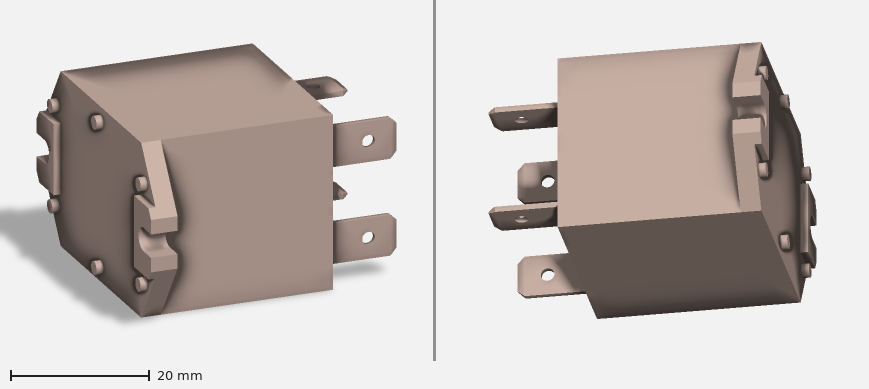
import cadquery as cq

overall_width = 44.0
overall_depth = 42.0
height = 27.0
body_width = 30.98
body_back = 30.98
flange_back = 4.15
front_face = 1.1
flange_end_height = 8.1

pad_height = 11.0
slot_width = 3.6
slot_depth = 4.8

foot_diameter = 2.05
corner_foot_x = 17.0
corner_foot_z = 7.75
middle_foot_z = 11.2

tab_length = overall_depth - body_back
tab_width = 6.35
tab_thickness = 0.85
tab_root = 0.9
tip_corner_width = 0.95
tip_corner_length = 1.1
tip_bevel_length = 0.9
tip_thickness = 0.18
tab_hole_diameter = 2.0
tab_hole_from_tip = 4.45
flat_tab_x = -8.5
flat_tab_z = 7.95
upright_tab_x = 12.35
upright_tab_z = 7.5


def box_between(width, y_front, y_back, box_height):
    """Box centred on X and Z, spanning the given Y range."""
    return cq.Workplane("XY").box(width, y_back - y_front, box_height).translate(
        (0, (y_front + y_back) / 2, 0)
    )


def extrude_back(sketch, y_front, y_back):
    """Extrude an XZ outline from y_front towards +Y."""
    return sketch.extrude(-(y_back - y_front)).translate((0, y_front, 0))


def flange_prism(y_front, y_back):
    """Octagonal flange outline, extruded over the given Y range."""
    half_width = overall_width / 2
    half_body = body_width / 2
    half_height = height / 2
    half_end = flange_end_height / 2
    outline = cq.Workplane("XZ").polyline([
        (-half_width, -half_end),
        (-half_body, -half_height),
        (half_body, -half_height),
        (half_width, -half_end),
        (half_width, half_end),
        (half_body, half_height),
        (-half_body, half_height),
        (-half_width, half_end),
    ]).close()
    return extrude_back(outline, y_front, y_back)


def ear_pads():
    """Raised parts of both ears, bounded by the flange outline and the body sides."""
    band = box_between(overall_width, 0, front_face, pad_height)
    middle = box_between(body_width, 0, front_face, pad_height)
    return flange_prism(0, front_face).intersect(band).cut(middle)


def mounting_slots():
    """Round-ended cutters, each centred on an end so that half of it enters the ear."""
    slots = (
        cq.Workplane("XZ")
        .pushPoints([(-overall_width / 2, 0), (overall_width / 2, 0)])
        .slot2D(2 * slot_depth, slot_width)
    )
    return extrude_back(slots, 0, flange_back)


def feet():
    positions = [(0, -middle_foot_z), (0, middle_foot_z)]
    for x in (-corner_foot_x, corner_foot_x):
        for z in (-corner_foot_z, corner_foot_z):
            positions.append((x, z))
    circles = cq.Workplane("XZ").pushPoints(positions).circle(foot_diameter / 2)
    return extrude_back(circles, 0, front_face)


def tab_terminal():
    """Flat tab along +Y, lying in the XY plane, with the body's back face at Y = 0."""
    half_width = tab_width / 2
    half_tip = half_width - tip_corner_width
    shoulder = tab_length - tip_corner_length
    blade = (
        cq.Workplane("XY")
        .polyline([
            (-half_width, -tab_root),
            (half_width, -tab_root),
            (half_width, shoulder),
            (half_tip, tab_length),
            (-half_tip, tab_length),
            (-half_width, shoulder),
        ])
        .close()
        .extrude(tab_thickness / 2, both=True)
    )
    bevel_start = tab_length - tip_bevel_length
    profile = (
        cq.Workplane("YZ")
        .polyline([
            (-tab_root, -tab_thickness / 2),
            (bevel_start, -tab_thickness / 2),
            (tab_length, -tip_thickness / 2),
            (tab_length, tip_thickness / 2),
            (bevel_start, tab_thickness / 2),
            (-tab_root, tab_thickness / 2),
        ])
        .close()
        .extrude(half_width, both=True)
    )
    hole = (
        cq.Workplane("XY")
        .center(0, tab_length - tab_hole_from_tip)
        .circle(tab_hole_diameter / 2)
        .extrude(tab_thickness, both=True)
    )
    return blade.intersect(profile).cut(hole)


housing = box_between(body_width, front_face, body_back, height)
housing = housing.union(flange_prism(front_face, flange_back))
housing = housing.union(ear_pads()).cut(mounting_slots()).union(feet())

flat_tab = tab_terminal()
upright_tab = flat_tab.rotate((0, 0, 0), (0, 1, 0), 90)
result = housing
for side in (-1, 1):
    result = result.union(flat_tab.translate((flat_tab_x, body_back, side * flat_tab_z)))
    result = result.union(upright_tab.translate((upright_tab_x, body_back, side * upright_tab_z)))